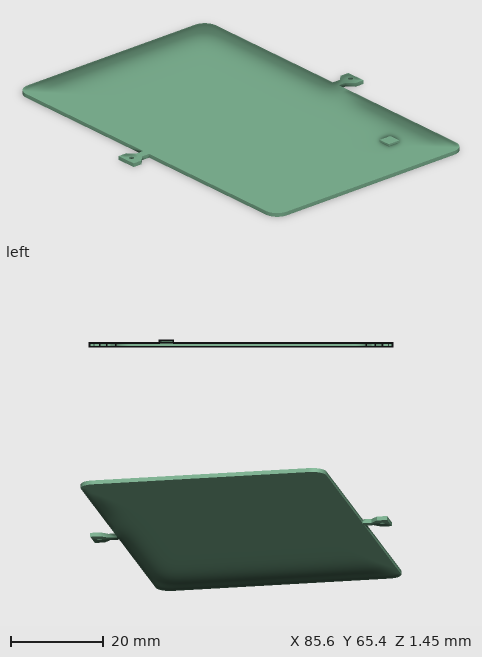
import cadquery as cq

overall_height = 1.45
chip_height = 0.57

card_length = 85.6
card_width = 54.0
card_thickness = overall_height - chip_height
corner_radius = 3.2

overall_width = 65.4
tab_width = 5.0
tab_neck_width = 2.0
tab_head_length = 2.2
tab_hole_diameter = 1.1
tab_hole_from_tip = 1.5

chip_size = 3.0
chip_center_x = 30.4
chip_center_y = 16.1

mark_diameter = 0.15
mark_inset = 0.3
mark_depth = 0.1


def make_card():
    """Flat card with rounded corners, its underside on Z = 0."""
    card = cq.Workplane("XY").box(card_length, card_width, card_thickness, centered=(True, True, False))
    return card.edges("|Z").fillet(corner_radius)


def make_tab():
    """Tab on the +Y edge: a neck that flares at 45 degrees into a drilled head."""
    half_neck = tab_neck_width / 2
    half_head = tab_width / 2
    edge_y = card_width / 2
    root_y = edge_y - tab_neck_width
    tip_y = overall_width / 2
    head_y = tip_y - tab_head_length
    neck_end_y = head_y - (half_head - half_neck)

    outline = [
        (-half_neck, root_y),
        (-half_neck, neck_end_y),
        (-half_head, head_y),
        (-half_head, tip_y),
        (half_head, tip_y),
        (half_head, head_y),
        (half_neck, neck_end_y),
        (half_neck, root_y),
    ]
    tab = cq.Workplane("XY").polyline(outline).close().extrude(card_thickness)
    hole = (
        cq.Workplane("XY")
        .center(0, tip_y - tab_hole_from_tip)
        .circle(tab_hole_diameter / 2)
        .extrude(card_thickness)
    )
    return tab.cut(hole)


def make_chip():
    """Square chip with a dimple near its -X, +Y corner."""
    chip = (
        cq.Workplane("XY", origin=(chip_center_x, chip_center_y, card_thickness))
        .rect(chip_size, chip_size)
        .extrude(chip_height)
    )
    mark_offset = chip_size / 2 - mark_inset
    mark_position = (chip_center_x - mark_offset, chip_center_y + mark_offset, overall_height - mark_depth)
    mark = cq.Workplane("XY", origin=mark_position).circle(mark_diameter / 2).extrude(mark_depth)
    return chip.cut(mark)


tab = make_tab()
opposite_tab = tab.mirror("XZ")
result = make_card().union(tab).union(opposite_tab).union(make_chip())